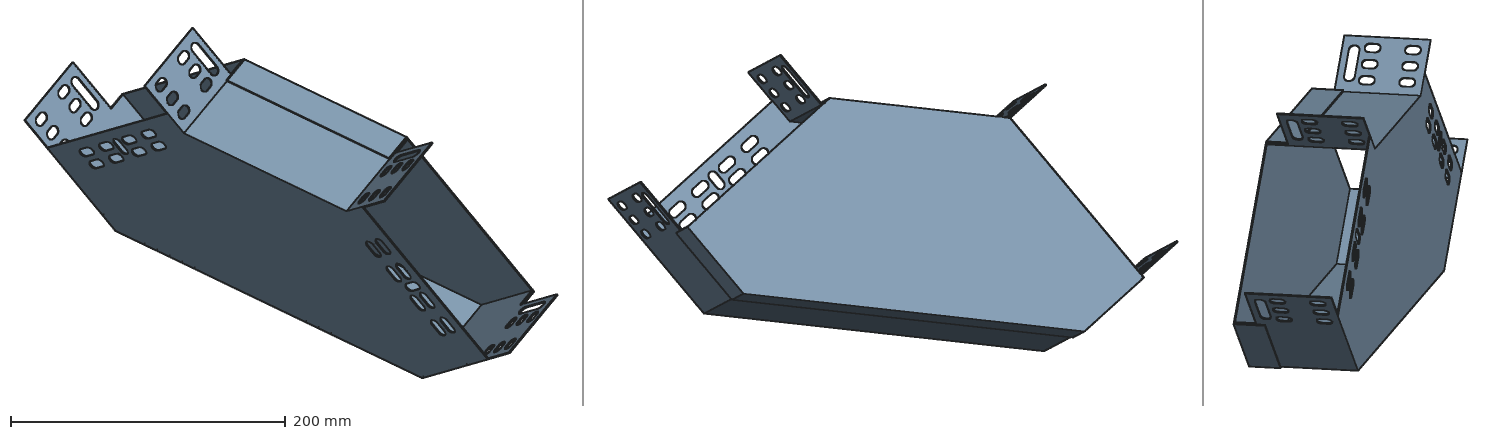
import cadquery as cq
import math


sheet = 1.0
duct_width = 150.5
duct_depth = 81.5
middle_length = 140.5
upper_leg = 19.5
bend_angle = 45.0

tab_height = 65.0
tab_length = 27.5

cover_setback = 18.5
cover_flange = 23.5

slot_width = 7.0
plate_slot_length = 15.0
plate_slot_offsets = (-38.7, -14.5, 14.5, 38.7)
plate_slot_insets = (12.0, 24.0)
cross_slot_inset = 15.5
tab_slot_length = 11.8
tab_slot_insets = (9.3, 22.7, 36.0)
tab_slot_heights = (11.8, 42.0)
long_slot_length = 30.0
long_slot_width = 8.0
long_slot_height = 55.5

tilt = (-0.57, -1.58, 1.31)

bend = math.radians(bend_angle)
mitre = math.tan(bend / 2)
leg_dir = (math.cos(bend), math.sin(bend))


def leg_point(level, past_end):
    """(X, Z) on the right leg line at a level, past_end beyond the front plate's end."""
    corner_x = middle_length / 2 - level * mitre
    leg = upper_leg - level * mitre + past_end
    return corner_x + leg * leg_dir[0], level + leg * leg_dir[1]


def bent_sheet(top, bottom, past_end, y_front, y_back):
    """Solid between two parallel bent lines, extruded from y_front to y_back."""
    def right_half(level):
        corner = (middle_length / 2 - level * mitre, level)
        return [corner, leg_point(level, past_end)]

    right = right_half(top) + right_half(bottom)[::-1]
    left = [(-x, z) for x, z in right[::-1]]
    outline = cq.Workplane("XZ", origin=(0, y_front, 0)).polyline(right + left).close()
    return outline.extrude(y_front - y_back)


def wall_pair(top, bottom, past_end, y_front, y_back):
    """Upper and lower walls of a channel whose outer faces lie at two levels."""
    upper = bent_sheet(top, top - sheet, past_end, y_front, y_back)
    lower = bent_sheet(bottom + sheet, bottom, past_end, y_front, y_back)
    return upper.union(lower)


def slots(plane, centres, length, width, angle):
    """Slot cutters through the sheet on both sides of a plane."""
    outlines = cq.Workplane(plane).pushPoints(centres).slot2D(length, width, angle)
    return outlines.extrude(2 * sheet, both=True)


def plate_slots():
    """Front-plate slots at the right-hand duct end."""
    x, z = leg_point(-duct_width / 2, 0)
    plane = cq.Plane((x, 0, z), xDir=(-leg_dir[0], 0, -leg_dir[1]), normal=(0, 1, 0))
    centres = [(inset, offset) for inset in plate_slot_insets for offset in plate_slot_offsets]
    return [
        slots(plane, centres, plate_slot_length, slot_width, 90),
        slots(plane, [(cross_slot_inset, 0)], plate_slot_length, slot_width, 0),
    ]


def tab_slots(level):
    """Slots in the right-hand tab of the wall whose outer face is at a level."""
    x, z = leg_point(level, tab_length)
    plane = cq.Plane((x, 0, z), xDir=(-leg_dir[0], 0, -leg_dir[1]), normal=(leg_dir[1], 0, -leg_dir[0]))
    centres = [(inset, height) for inset in tab_slot_insets for height in tab_slot_heights]
    middle_inset = tab_slot_insets[1]
    return [
        slots(plane, centres, tab_slot_length, slot_width, 90),
        slots(plane, [(middle_inset, long_slot_height)], long_slot_length, long_slot_width, 0),
    ]


def make_base():
    """Front plate, full-depth walls under the cover, and shallower tabs at their ends."""
    front_plate = bent_sheet(0, -duct_width, 0, 0, sheet)
    walls = wall_pair(0, -duct_width, -cover_setback, 0, duct_depth - sheet)
    tab_walls = wall_pair(0, -duct_width, tab_length, 0, tab_height)
    base = front_plate.union(walls).union(tab_walls)
    for cutter in plate_slots() + tab_slots(0) + tab_slots(-duct_width):
        base = base.cut(cutter).cut(cutter.mirror("YZ"))
    return base


def make_cover():
    """Back plate whose folded edges lie on the outside of the base walls."""
    top = sheet
    bottom = -duct_width - sheet
    back_plate = bent_sheet(top, bottom, -cover_setback, duct_depth - sheet, duct_depth)
    folded_edges = wall_pair(top, bottom, -cover_setback, duct_depth - cover_flange, duct_depth)
    return back_plate.union(folded_edges)


def tilted(body):
    """Turn a body about X, then Y, then Z, through the origin."""
    axes = ((1, 0, 0), (0, 1, 0), (0, 0, 1))
    for axis, angle in zip(axes, tilt):
        body = body.rotate((0, 0, 0), axis, angle)
    return body


base = tilted(make_base())
cover = tilted(make_cover())

result = cq.Compound.makeCompound([base.val(), cover.val()])